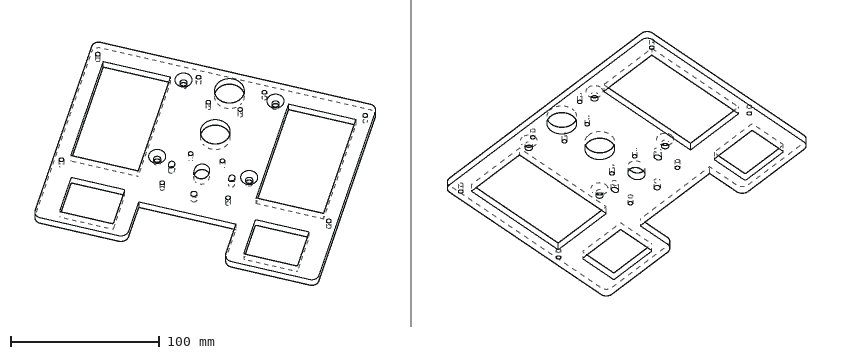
import cadquery as cq

width = 198.0
depth = 150.0
thickness = 6.5
corner_radius = 5.0

notch_half_width = 33.9
notch_rear_y = -119.5
notch_corner_radius = 5.5

large_window_inner_x = 41.2
large_window_outer_x = 88.1
large_window_rear_y = -14.8
large_window_front_y = -95.0
small_window_inner_x = 45.5
small_window_outer_x = 83.0
small_window_rear_y = -112.5
small_window_front_y = -141.5
small_window_corner_radius = 0.8

large_hole_diameter = 20.0
large_hole_ys = (-15.0, -50.0)
front_hole_diameter = 4.2
front_hole_y = -103.2

small_hole_diameter = 3.2
mount_hole_xs = (23.0, 93.3)
mount_hole_ys = (-9.9, -100.2)
inner_hole_x = 11.0
inner_hole_ys = (-28.0, -71.9)

screw_x = 32.0
screw_ys = (-14.8, -80.2)
screw_diameter = 5.0
countersink_diameter = 11.5
countersink_angle = 90.0

slot_y = -84.0
center_slot_length = 12.0
center_slot_width = 10.0
side_slot_x = 21.0
side_slot_length = 5.3
side_slot_width = 4.0


def mirrored_points(x, ys):
    """Points at both +x and -x for every y."""
    return [(side * x, y) for side in (-1, 1) for y in ys]


def through_box(x_min, x_max, y_min, y_max):
    """Rectangular cutter spanning the plate thickness."""
    return cq.Workplane("XY").box(
        x_max - x_min, y_max - y_min, thickness, centered=False
    ).translate((x_min, y_min, 0))


def cut_mirrored(plate, window):
    """Cut one window and its mirror image."""
    return plate.cut(window).cut(window.mirror("YZ"))


def drill(plate, points, diameter):
    """Drill plain through holes."""
    cutter = cq.Workplane("XY").pushPoints(points).circle(diameter / 2).extrude(thickness)
    return plate.cut(cutter)


def cut_slots(plate, points, length, slot_width):
    """Cut through slots elongated along Y."""
    cutter = cq.Workplane("XY").pushPoints(points).slot2D(length, slot_width, 90).extrude(thickness)
    return plate.cut(cutter)


plate = through_box(-width / 2, width / 2, -depth, 0)
plate = plate.cut(through_box(-notch_half_width, notch_half_width, -depth, notch_rear_y))
plate = plate.edges("|Z and (<X or >X)").fillet(corner_radius)
notch_mouth = cq.selectors.BoxSelector(
    (-width / 4, -depth - notch_corner_radius, 0),
    (width / 4, -depth + notch_corner_radius, thickness),
)
plate = plate.edges("|Z").edges(notch_mouth).fillet(notch_corner_radius)

large_window = through_box(
    large_window_inner_x, large_window_outer_x, large_window_front_y, large_window_rear_y
)
plate = cut_mirrored(plate, large_window)
small_window = through_box(
    small_window_inner_x, small_window_outer_x, small_window_front_y, small_window_rear_y
)
plate = cut_mirrored(plate, small_window.edges("|Z").fillet(small_window_corner_radius))

plate = drill(plate, [(0, y) for y in large_hole_ys], large_hole_diameter)
plate = drill(plate, [(0, front_hole_y)], front_hole_diameter)
for mount_x in mount_hole_xs:
    plate = drill(plate, mirrored_points(mount_x, mount_hole_ys), small_hole_diameter)
plate = drill(plate, mirrored_points(inner_hole_x, inner_hole_ys), small_hole_diameter)

plate = cut_slots(plate, [(0, slot_y)], center_slot_length, center_slot_width)
plate = cut_slots(plate, mirrored_points(side_slot_x, [slot_y]), side_slot_length, side_slot_width)

result = (
    plate.faces(">Z")
    .workplane(origin=(0, 0, thickness))
    .pushPoints(mirrored_points(screw_x, screw_ys))
    .cskHole(screw_diameter, countersink_diameter, countersink_angle)
)